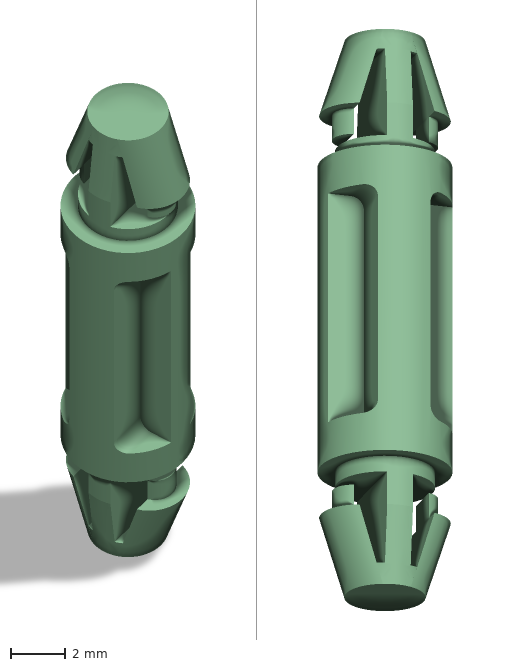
import cadquery as cq

total_length = 21.8
body_diameter = 5.0
body_length = 12.0

pocket_length = 8.98
pocket_corner_radius = 0.5
cross_half_x = 1.02
cross_half_y = 0.6

collar_diameter = 3.7
collar_height = 0.6
web_thickness = 1.0

tip_diameter = 3.0
cap_height = 0.8
arm_height = 3.0
arm_spread = 0.98
arm_inner_x_tip = 0.55
arm_inner_x_end = 1.45

foot_height = 1.0
foot_thickness = 0.57
foot_width = 1.53

half_length = total_length / 2
body_radius = body_diameter / 2
body_end = body_length / 2
collar_radius = collar_diameter / 2
tip_radius = tip_diameter / 2
arm_end = half_length - arm_height
cap_bottom = half_length - cap_height


def mirrored_pair(shape, plane):
    return shape.union(shape.mirror(plane))


def make_body():
    """Round body with four corner pockets running along its middle."""
    body = cq.Workplane("XY").circle(body_radius).extrude(body_length / 2, both=True)
    pocket = (
        cq.Workplane("XY")
        .box(body_diameter, body_diameter, pocket_length)
        .edges("|Y")
        .fillet(pocket_corner_radius)
        .translate((cross_half_x + body_radius, cross_half_y + body_radius, 0))
    )
    return body.cut(mirrored_pair(mirrored_pair(pocket, "YZ"), "XZ"))


def make_core():
    """Collar, web and tip cap, with the web and cap tapering to the tip."""
    collar = (
        cq.Workplane("XY").workplane(offset=body_end).circle(collar_radius).extrude(collar_height)
    )
    tapered_envelope = (
        cq.Workplane("XZ")
        .moveTo(0, body_end)
        .lineTo(collar_radius, body_end)
        .lineTo(collar_radius, arm_end)
        .lineTo(tip_radius, half_length)
        .lineTo(0, half_length)
        .close()
        .revolve(360, (0, 0, 0), (0, 1, 0))
    )
    web_height = half_length - body_end
    web = cq.Workplane("XY").box(web_thickness, collar_diameter, web_height)
    web = web.translate((0, 0, body_end + web_height / 2))

    inner_slope = (arm_inner_x_end - arm_inner_x_tip) / arm_height
    cap_half_width = arm_inner_x_tip + inner_slope * cap_height
    cap = (
        cq.Workplane("XZ")
        .polyline([
            (-cap_half_width, cap_bottom),
            (cap_half_width, cap_bottom),
            (arm_inner_x_tip, half_length),
            (-arm_inner_x_tip, half_length),
        ])
        .close()
        .extrude(collar_radius, both=True)
    )
    return collar.union(web.union(cap).intersect(tapered_envelope))


def make_arm():
    """One arm on the +X side: a slanted bar with a flat inner face and a foot."""
    tip_circle = cq.Workplane("XY").workplane(offset=half_length).circle(tip_radius)
    slant_path = cq.Workplane("XZ").moveTo(0, half_length).lineTo(arm_spread, arm_end)
    bar = tip_circle.sweep(slant_path)
    outer_x = arm_spread + tip_radius
    outer_side = (
        cq.Workplane("XZ")
        .polyline([
            (arm_inner_x_tip, half_length),
            (outer_x, half_length),
            (outer_x, arm_end),
            (arm_inner_x_end, arm_end),
        ])
        .close()
        .extrude(tip_radius, both=True)
    )
    foot = (
        cq.Workplane("XY")
        .workplane(offset=arm_end - foot_height)
        .moveTo(arm_inner_x_end, -foot_width / 2)
        .threePointArc(
            (arm_inner_x_end + foot_thickness, 0),
            (arm_inner_x_end, foot_width / 2),
        )
        .close()
        .extrude(foot_height)
    )
    return bar.intersect(outer_side).union(foot)


head = make_core().union(mirrored_pair(make_arm(), "YZ"))
result = make_body().union(mirrored_pair(head, "XY"))